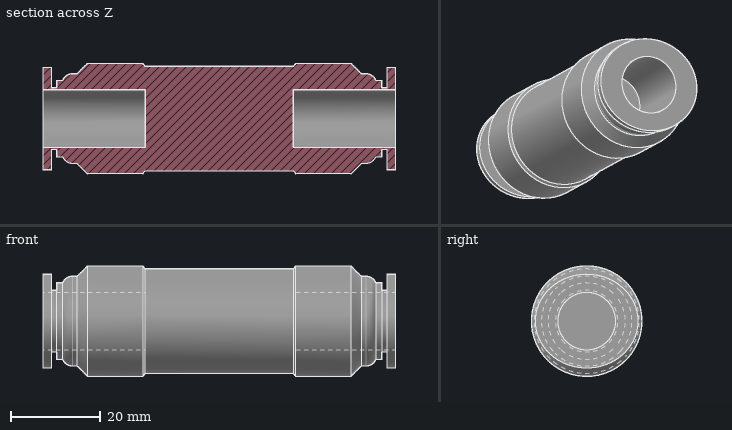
import cadquery as cq
import math


length = 79.0

sleeve_diameter = 23.5
body_diameter = 24.8
bead_diameter = 20.2
collar_diameter = 17.2
neck_diameter = 13.9
bore_diameter = 12.9

flange_width_y = 23.0
flange_height_z = 21.0

flange_thickness = 2.0
neck_length = 1.1
collar_length = 1.35
bead_round_length = 2.25
bead_flat_length = 1.0
cone_length = (body_diameter - bead_diameter) / 2
body_length = 12.4
body_chamfer = 0.5

half_length = length / 2
flange_x = half_length - flange_thickness
neck_x = flange_x - neck_length
collar_x = neck_x - collar_length
bead_round_x = collar_x - bead_round_length
bead_flat_x = bead_round_x - bead_flat_length
cone_x = bead_flat_x - cone_length
body_x = cone_x - body_length
sleeve_x = body_x - body_chamfer

bore_depth = half_length - sleeve_x

sleeve_radius = sleeve_diameter / 2
body_radius = body_diameter / 2
bead_radius = bead_diameter / 2
collar_radius = collar_diameter / 2
neck_radius = neck_diameter / 2


def bead_arc_midpoint():
    """Middle of the bead arc, which runs out parallel to the axis at the bead diameter."""
    rise = bead_radius - collar_radius
    arc_radius = (bead_round_length**2 + rise**2) / (2 * rise)
    half_angle = math.asin(bead_round_length / arc_radius) / 2
    x = bead_round_x + arc_radius * math.sin(half_angle)
    r = bead_radius - arc_radius * (1 - math.cos(half_angle))
    return x, r


def end_body():
    """Revolved +X end, from the sleeve out to the flange."""
    profile = (
        cq.Workplane("XY")
        .moveTo(sleeve_x, 0)
        .lineTo(sleeve_x, sleeve_radius)
        .lineTo(body_x, body_radius)
        .lineTo(cone_x, body_radius)
        .lineTo(bead_flat_x, bead_radius)
        .lineTo(bead_round_x, bead_radius)
        .threePointArc(bead_arc_midpoint(), (collar_x, collar_radius))
        .lineTo(neck_x, collar_radius)
        .lineTo(neck_x, neck_radius)
        .lineTo(flange_x, neck_radius)
        .lineTo(flange_x, 0)
        .close()
    )
    return profile.revolve(360, (0, 0, 0), (1, 0, 0))


def flange():
    """Oval release flange at the +X end."""
    return (
        cq.Workplane("YZ", origin=(flange_x, 0, 0))
        .ellipse(flange_width_y / 2, flange_height_z / 2)
        .extrude(flange_thickness)
    )


def bore():
    """Blind tube socket at the +X end."""
    return (
        cq.Workplane("YZ", origin=(half_length - bore_depth, 0, 0))
        .circle(bore_diameter / 2)
        .extrude(bore_depth)
    )


def sleeve():
    """Central sleeve joining the two ends."""
    return (
        cq.Workplane("YZ", origin=(-sleeve_x, 0, 0))
        .circle(sleeve_radius)
        .extrude(2 * sleeve_x)
    )


end = end_body().union(flange()).cut(bore())
result = sleeve().union(end).union(end.mirror("YZ"))